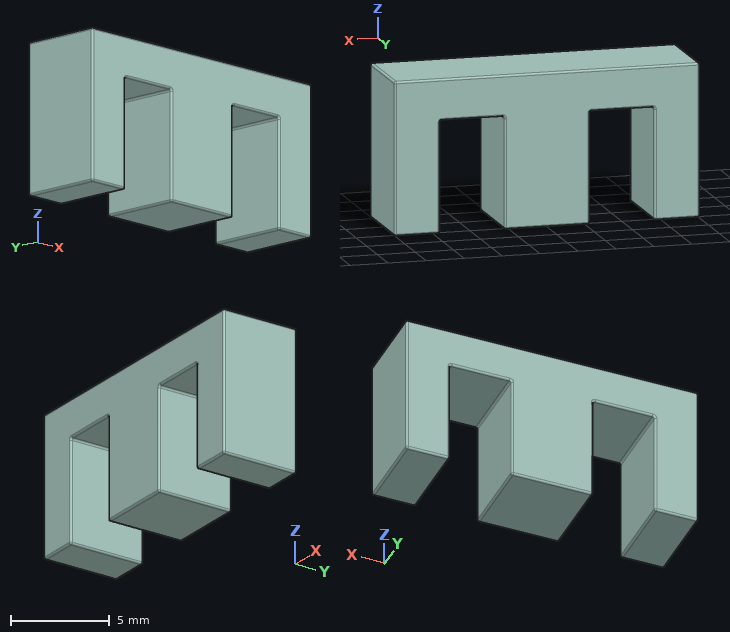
import cadquery as cq

length = 16.1
depth = 4.5
height = 8.05

center_leg_width = 4.5
outer_leg_width = 2.42
back_thickness = 2.17
edge_radius = 0.11

window_width = (length - center_leg_width) / 2 - outer_leg_width
window_height = height - back_thickness
window_offset = (center_leg_width + window_width) / 2

core = cq.Workplane("XY").box(length, depth, height, centered=(True, True, False))

windows = (
    cq.Workplane("XY")
    .pushPoints([(-window_offset, 0), (window_offset, 0)])
    .box(window_width, depth, window_height, centered=(True, True, False))
)

result = core.cut(windows).edges().fillet(edge_radius)